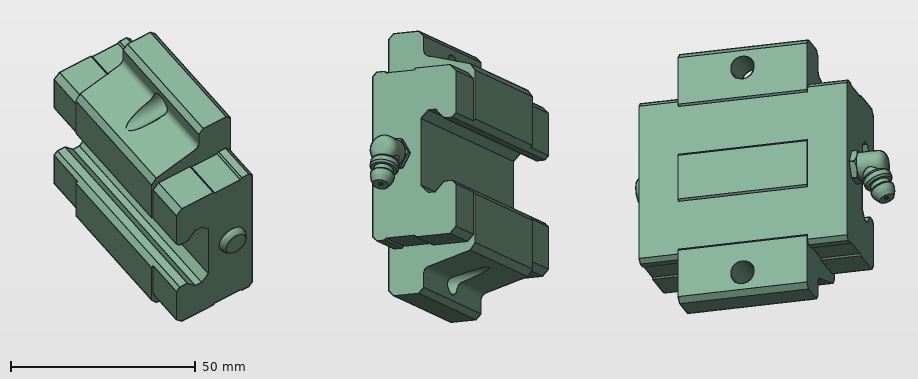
import cadquery as cq
import math


block_length = 36.6
block_height = 26.0
half_width = 36.5
flange_thickness = 10.5
flange_chamfer = 1.5
flank_angle = math.radians(15)
flank_edge_depth = 24.5
flank_edge_z = 25.95
flank_root_radius = 2.0
foot_outer_z = 24.0

groove_depth = 0.5
pad_half_width = 6.4
groove_outer_z = 21.4

slot_floor_depth = 15.0
slot_floor_half_width = 9.3
slot_waist_half_width = 11.5
slot_waist_start = 17.2
slot_waist_end = 19.3
slot_lip_half_width = 8.8
slot_lip_start = 21.9
slot_mouth_chamfer = 1.6

hole_diameter = 6.6
hole_z = 30.0

overall_cap_length = 59.05
cap_top_depth = 0.5
cap_bottom_depth = 25.5
cap_half_width = 23.5
cap_top_chamfer = 1.2
cap_bottom_chamfer = 1.8
side_recess_depth = 0.5
side_recess_start = 4.0
side_recess_end = 13.4

fitting_depth = 7.25
hex_across_flats = 8.0
hex_corner_diameter = 9.15
hex_face_diameter = 7.9
hex_length = 1.85
hex_chamfer_length = 0.35
elbow_diameter = 7.85
elbow_reach = 9.45
elbow_round = 2.4
nozzle_start = 4.75
nozzle_angle = 24.0
stub_diameter = 7.0
collar_diameter = 7.85
collar_start = 3.4
collar_rim_start = 4.1
collar_rim_end = 5.55
collar_end_diameter = 7.0
neck_diameter = 5.5
neck_start = 6.15
neck_end = 7.4
head_diameter = 6.65
head_start = 8.0
head_round_end_diameter = 5.8
head_round_end = 9.85
tip_diameter = 4.3
tip_end = 11.15
grease_hole_diameter = 1.2
grease_hole_depth = 0.2

plug_length = 2.0
plug_base_diameter = 8.4
plug_end_diameter = 6.5

cap_face_x = overall_cap_length / 2


def extrude_profile(half_points, length):
    """Mirror (depth, z) points about Z = 0 and extrude them centred along X."""
    upper = [(-depth, z) for depth, z in half_points]
    lower = [(y, -z) for y, z in reversed(upper)]
    return cq.Workplane("YZ").polyline(upper + lower).close().extrude(length / 2, both=True)


def make_block():
    flank_root_z = flank_edge_z + (flank_edge_depth - flange_thickness) * math.tan(flank_angle)
    block = extrude_profile(
        [
            (0, half_width - flange_chamfer),
            (flange_chamfer, half_width),
            (flange_thickness - flange_chamfer, half_width),
            (flange_thickness, half_width - flange_chamfer),
            (flange_thickness, flank_root_z),
            (flank_edge_depth, flank_edge_z),
            (block_height, foot_outer_z),
        ],
        block_length,
    )
    for side in (1, -1):
        root = cq.selectors.NearestToPointSelector((0, -flange_thickness, side * flank_root_z))
        block = block.edges("|X").edges(root).fillet(flank_root_radius)
    return block


def make_groove(side):
    outline = [
        (0, side * pad_half_width),
        (-groove_depth, side * (pad_half_width + groove_depth)),
        (-groove_depth, side * (groove_outer_z - groove_depth)),
        (0, side * groove_outer_z),
    ]
    return cq.Workplane("YZ").polyline(outline).close().extrude(block_length / 2, both=True)


def make_mounting_hole(side):
    return (
        cq.Workplane("XZ")
        .center(0, side * hole_z)
        .circle(hole_diameter / 2)
        .extrude(block_height)
    )


def make_end_caps():
    recessed_half_width = cap_half_width - side_recess_depth
    caps = extrude_profile(
        [
            (cap_top_depth, cap_half_width - cap_top_chamfer),
            (cap_top_depth + cap_top_chamfer, cap_half_width),
            (side_recess_start, cap_half_width),
            (side_recess_start + side_recess_depth, recessed_half_width),
            (side_recess_end - side_recess_depth, recessed_half_width),
            (side_recess_end, cap_half_width),
            (cap_bottom_depth - cap_bottom_chamfer, cap_half_width),
            (cap_bottom_depth, cap_half_width - cap_bottom_chamfer),
        ],
        overall_cap_length,
    )
    block_space = cq.Workplane("XY").box(block_length, 2 * block_height, 2 * half_width)
    return caps.cut(block_space)


def make_rail_slot():
    return extrude_profile(
        [
            (slot_floor_depth, slot_floor_half_width),
            (slot_waist_start, slot_waist_half_width),
            (slot_waist_end, slot_waist_half_width),
            (slot_lip_start, slot_lip_half_width),
            (block_height - slot_mouth_chamfer, slot_lip_half_width),
            (block_height, slot_lip_half_width + slot_mouth_chamfer),
        ],
        overall_cap_length,
    )


def tangent_arc_radius(run, drop):
    """Radius of an arc that leaves parallel to the axis and falls by drop over run."""
    return (run**2 + drop**2) / (2 * drop)


def make_hex():
    """Hexagon with turned corners and a conical chamfer on its outer face."""
    hexagon = (
        cq.Workplane("YZ", origin=(-cap_face_x, -fitting_depth, 0))
        .polygon(6, hex_across_flats / math.cos(math.pi / 6))
        .extrude(-hex_length)
    )
    corner_rounding = (
        cq.Workplane("XY", origin=(-cap_face_x, -fitting_depth, 0))
        .lineTo(0, hex_corner_diameter / 2)
        .lineTo(-hex_length + hex_chamfer_length, hex_corner_diameter / 2)
        .lineTo(-hex_length, hex_face_diameter / 2)
        .lineTo(-hex_length, 0)
        .close()
        .revolve(360, (0, 0, 0), (1, 0, 0))
    )
    return hexagon.intersect(corner_rounding)


def make_elbow():
    return (
        cq.Workplane("YZ", origin=(-cap_face_x, -fitting_depth, 0))
        .circle(elbow_diameter / 2)
        .extrude(-elbow_reach)
        .faces("<X")
        .edges()
        .fillet(elbow_round)
    )


def make_nozzle():
    """Revolve the nozzle about a -Z axis, then swing it outward from the elbow."""
    head_radius = head_diameter / 2
    head_round_end_radius = head_round_end_diameter / 2
    head_arc_radius = tangent_arc_radius(
        head_round_end - head_start, head_radius - head_round_end_radius
    )
    nozzle = (
        cq.Workplane("XZ")
        .lineTo(stub_diameter / 2, 0)
        .lineTo(stub_diameter / 2, -collar_start)
        .lineTo(collar_diameter / 2, -collar_rim_start)
        .lineTo(collar_diameter / 2, -collar_rim_end)
        .lineTo(collar_end_diameter / 2, -neck_start)
        .lineTo(neck_diameter / 2, -neck_start)
        .lineTo(neck_diameter / 2, -neck_end)
        .lineTo(head_radius, -head_start)
        .radiusArc((head_round_end_radius, -head_round_end), head_arc_radius)
        .lineTo(tip_diameter / 2, -tip_end)
        .lineTo(grease_hole_diameter / 2, -tip_end)
        .lineTo(grease_hole_diameter / 2, -tip_end + grease_hole_depth)
        .lineTo(0, -tip_end + grease_hole_depth)
        .close()
        .revolve(360, (0, 0, 0), (0, 1, 0))
    )
    return nozzle.rotate((0, 0, 0), (0, 1, 0), nozzle_angle).translate(
        (-cap_face_x - nozzle_start, -fitting_depth, 0)
    )


def make_plug():
    """Round-shouldered plug on the end face opposite the nipple."""
    base_radius = plug_base_diameter / 2
    end_radius = plug_end_diameter / 2
    shoulder_radius = tangent_arc_radius(plug_length, base_radius - end_radius)
    return (
        cq.Workplane("XY", origin=(cap_face_x, -fitting_depth, 0))
        .lineTo(0, base_radius)
        .radiusArc((plug_length, end_radius), shoulder_radius)
        .lineTo(plug_length, 0)
        .close()
        .revolve(360, (0, 0, 0), (1, 0, 0))
    )


body = make_block()
for side in (1, -1):
    body = body.cut(make_groove(side)).cut(make_mounting_hole(side))
body = body.union(make_end_caps()).cut(make_rail_slot())

for fitting in (make_hex(), make_elbow(), make_nozzle(), make_plug()):
    body = body.union(fitting)

result = body